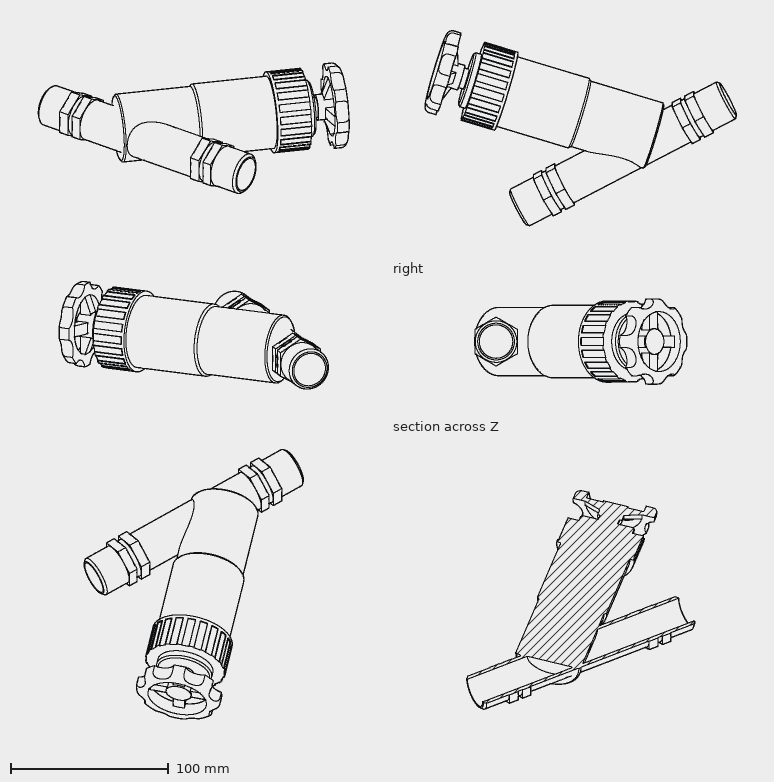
import cadquery as cq


PIPE_LENGTH = 150.9
PIPE_DIAMETER = 26.4
BORE_DIAMETER = 21.2
PIPE_END_CHAMFER = 1.5

HEX_CORNER_DIAMETER = 31.0
INLET_PAIR_START = 17.6
OUTLET_PAIR_START = 117.4
WIDE_HEX_WIDTH = 6.4
NARROW_HEX_WIDTH = 5.9
HEX_GAP = 3.1

BARREL_AXIS_X = 51.5
BARREL_ANGLE = 45

BARREL_START = 1.4
BARREL_SHOULDER = 50.2
NUT_START = 99.8
NUT_END = 121.7
CAP_END = 126.4
HUB_START = 129.6
WHEEL_START = 138.1
SPOKE_END = 141.4
HUB_END = 142.4
WHEEL_END = 146.4

LOWER_BARREL_DIAMETER = 43.5
UPPER_BARREL_DIAMETER = 46.3
BARREL_CHAMFER = 1.0
COLLAR_FILLET = 0.7
NUT_DIAMETER = 51.8
CAP_DIAMETER = 35.9
CAP_CHAMFER = 1.2
STEM_DIAMETER = 13.1
HUB_DIAMETER = 16.4

GROOVE_COUNT = 20
GROOVE_WIDTH = 4.8
GROOVE_DEPTH = 0.7
NUT_FLANGE_WIDTH = 2.0

WHEEL_DIAMETER = 54.4
RIM_INNER_DIAMETER = 38.0
RIM_FILLET = 3.8
SCALLOP_COUNT = 8
SCALLOP_RADIUS = 8.8
SCALLOP_FLOOR_RADIUS = 23.1
SPOKE_COUNT = 4
SPOKE_WIDTH = 7.3
SPOKE_ROOT_START = 134.1


def rod(diameter, start, end):
    """Solid cylinder along X between two stations."""
    return cq.Workplane("YZ", origin=(start, 0, 0)).circle(diameter / 2).extrude(end - start)


def lean(body):
    """Move a body built along X onto the leaning barrel axis."""
    return body.rotate((0, 0, 0), (0, 0, 1), BARREL_ANGLE).translate((BARREL_AXIS_X, 0, 0))


def make_pipe():
    return rod(PIPE_DIAMETER, 0, PIPE_LENGTH).faces("<X or >X").chamfer(PIPE_END_CHAMFER)


def make_hex(start, width):
    """Hexagon around the pipe with two corners on the Z axis."""
    blank = cq.Workplane("YZ", origin=(start, 0, 0)).polygon(6, HEX_CORNER_DIAMETER).extrude(width)
    return blank.rotate((0, 0, 0), (1, 0, 0), 90)


def make_hex_pair(start):
    narrow_start = start + WIDE_HEX_WIDTH + HEX_GAP
    return make_hex(start, WIDE_HEX_WIDTH).union(make_hex(narrow_start, NARROW_HEX_WIDTH))


def make_barrel():
    """Barrel with a bevelled lower end and a 45 degree shoulder up to the wider part."""
    lower_radius = LOWER_BARREL_DIAMETER / 2
    upper_radius = UPPER_BARREL_DIAMETER / 2
    shoulder_end = BARREL_SHOULDER + upper_radius - lower_radius
    outline = [
        (BARREL_START, 0),
        (BARREL_START, lower_radius - BARREL_CHAMFER),
        (BARREL_START + BARREL_CHAMFER, lower_radius),
        (BARREL_SHOULDER, lower_radius),
        (shoulder_end, upper_radius),
        (NUT_START, upper_radius),
        (NUT_START, 0),
    ]
    return cq.Workplane("XY").polyline(outline).close().revolve(360, (0, 0, 0), (1, 0, 0))


def make_nut():
    """Nut with grooves that stop short of a plain flange at its lower end."""
    nut = rod(NUT_DIAMETER, NUT_START, NUT_END)
    groove_start = NUT_START + NUT_FLANGE_WIDTH
    groove_length = NUT_END - groove_start
    cutters = (
        cq.Workplane("YZ", origin=(groove_start, 0, 0))
        .polarArray(NUT_DIAMETER / 2, 0, 360, GROOVE_COUNT)
        .rect(2 * GROOVE_DEPTH, GROOVE_WIDTH)
        .extrude(groove_length)
    )
    return nut.cut(cutters)


def make_stem():
    cap = rod(CAP_DIAMETER, NUT_END, CAP_END).faces(">X").chamfer(CAP_CHAMFER)
    neck = rod(STEM_DIAMETER, CAP_END, HUB_START)
    hub = rod(HUB_DIAMETER, HUB_START, HUB_END)
    return cap.union(neck).union(hub)


def make_rim():
    """Ring with a rounded upper outer edge and scalloped finger grips."""
    disc = rod(WHEEL_DIAMETER, WHEEL_START, WHEEL_END).faces(">X").edges().fillet(RIM_FILLET)
    rim = disc.cut(rod(RIM_INNER_DIAMETER, WHEEL_START, WHEEL_END))
    first_angle = 180 / SCALLOP_COUNT
    scallops = (
        cq.Workplane("YZ", origin=(WHEEL_START, 0, 0))
        .polarArray(SCALLOP_FLOOR_RADIUS + SCALLOP_RADIUS, first_angle, 360, SCALLOP_COUNT)
        .circle(SCALLOP_RADIUS)
        .extrude(WHEEL_END - WHEEL_START)
    )
    return rim.cut(scallops)


def make_spoke():
    """Web along +Y from the hub to the rim, with a sloped underside."""
    rim_overlap_radius = (RIM_INNER_DIAMETER / 2 + SCALLOP_FLOOR_RADIUS) / 2
    outline = [
        (SPOKE_END, 0),
        (SPOKE_ROOT_START, 0),
        (SPOKE_ROOT_START, HUB_DIAMETER / 2),
        (WHEEL_START, RIM_INNER_DIAMETER / 2),
        (WHEEL_START, rim_overlap_radius),
        (SPOKE_END, rim_overlap_radius),
    ]
    return cq.Workplane("XY").polyline(outline).close().extrude(SPOKE_WIDTH / 2, both=True)


def make_wheel():
    wheel = make_rim()
    for index in range(SPOKE_COUNT):
        angle = index * 360 / SPOKE_COUNT
        wheel = wheel.union(make_spoke().rotate((0, 0, 0), (1, 0, 0), angle))
    return wheel


body = make_pipe().union(lean(make_barrel()))
lower_end = body.faces("(-1,-1,0)").faces("<X")
body = lower_end.edges("%ELLIPSE").fillet(COLLAR_FILLET)

bore = rod(BORE_DIAMETER, 0, PIPE_LENGTH).cut(lean(make_barrel()))
body = body.union(make_hex_pair(INLET_PAIR_START)).union(make_hex_pair(OUTLET_PAIR_START))
body = body.cut(bore)

headgear = make_nut().union(make_stem()).union(make_wheel())
result = body.union(lean(headgear))